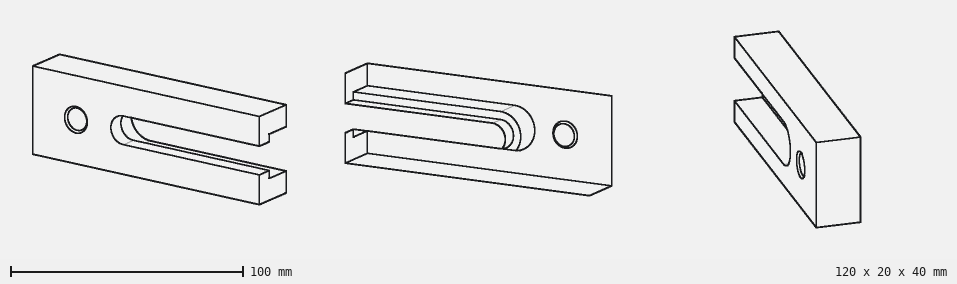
import cadquery as cq

length = 120.0
thickness = length / 6
height = length / 3

hole_x = 22.9
hole_diameter = 10.1
countersink_diameter = 12.0
countersink_depth = (countersink_diameter - hole_diameter) / 2

slot_width = 13.0
slot_start_x = 41.4
slot_center_x = slot_start_x + slot_width / 2
lip_thickness = 7.5
rear_slot_width = 20.0


def open_slot(width, front_y, back_y):
    """Round-ended slot running from its arc centre out through the +X end."""
    radius = width / 2
    return (
        cq.Workplane("XZ", origin=(0, front_y, 0))
        .moveTo(length, -radius)
        .lineTo(slot_center_x, -radius)
        .threePointArc((slot_center_x - radius, 0), (slot_center_x, radius))
        .lineTo(length, radius)
        .close()
        .extrude(front_y - back_y)
    )


def countersunk_hole():
    """Revolved cutter: a cylinder that flares at 45 degrees to each face."""
    hole_radius = hole_diameter / 2
    rim_radius = countersink_diameter / 2
    return (
        cq.Workplane("XY", origin=(hole_x, 0, 0))
        .polyline([
            (0, 0),
            (rim_radius, 0),
            (hole_radius, countersink_depth),
            (hole_radius, thickness - countersink_depth),
            (rim_radius, thickness),
            (0, thickness),
        ])
        .close()
        .revolve(360, (0, 0), (0, 1))
    )


block = cq.Workplane("XY").box(length, thickness, height, centered=(False, False, True))
front_slot = open_slot(slot_width, 0, thickness)
rear_slot = open_slot(rear_slot_width, lip_thickness, thickness)

result = block.cut(front_slot).cut(rear_slot).cut(countersunk_hole())